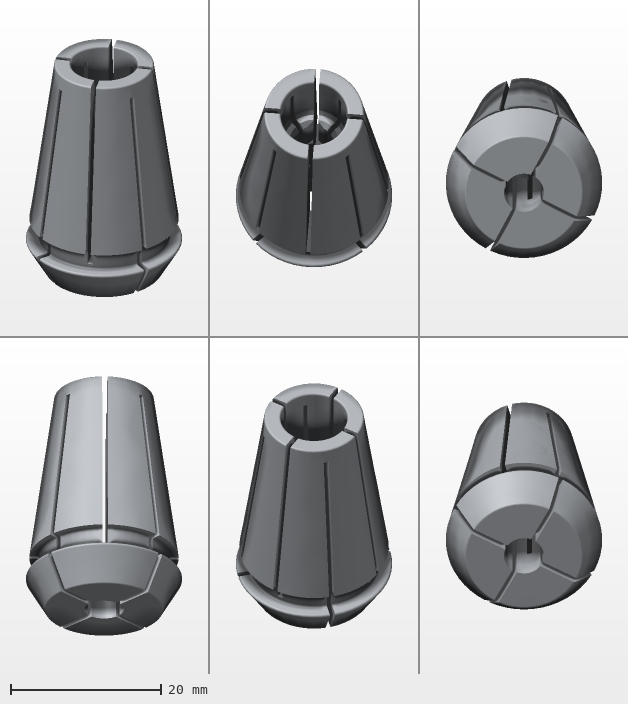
import cadquery as cq
import math

total_height = 31.5
flange_top = 4.85
taper_bottom = 7.7

flange_tip_radius = 10.6
flange_angle = 30.0
neck_radius = 8.7
taper_bottom_radius = 9.95
taper_angle = 8.0
edge_round = 0.28

clamping_radius = 2.65
square_side = 4.98
square_bottom = 15.75
relief_floor = 22.05
funnel_top_radius = 3.3
funnel_angle = 45.0
relief_floor_radius = 4.03
relief_radius = 4.45
relief_cone_angle = 30.0

slot_width = 0.7
bottom_slot_top = 29.5
top_slot_floor = 5.5
slots_per_end = 4

taper_height = total_height - taper_bottom
bottom_radius = flange_tip_radius - flange_top * math.tan(math.radians(flange_angle))
top_radius = taper_bottom_radius - taper_height * math.tan(math.radians(taper_angle))
funnel_height = funnel_top_radius / math.tan(math.radians(funnel_angle))
relief_cone_height = (relief_radius - relief_floor_radius) / math.tan(math.radians(relief_cone_angle))


def revolved(outline):
    """Revolve a closed (radius, height) outline around the Z axis."""
    return cq.Workplane("XZ").polyline(outline).close().revolve(360, (0, 0, 0), (0, 1, 0))


def outer_body():
    """Tapered nose, neck groove and conical flange, with rounded edges."""
    body = revolved([
        (0, 0),
        (bottom_radius, 0),
        (flange_tip_radius, flange_top),
        (neck_radius, flange_top),
        (neck_radius, taper_bottom),
        (taper_bottom_radius, taper_bottom),
        (top_radius, total_height),
        (0, total_height),
    ])
    rounded_circles = [
        (bottom_radius, 0),
        (flange_tip_radius, flange_top),
        (neck_radius, flange_top),
        (neck_radius, taper_bottom),
        (top_radius, total_height),
    ]

    def is_rounded(edge):
        if edge.geomType() != "CIRCLE":
            return False
        return any(
            math.isclose(edge.radius(), radius, abs_tol=0.003)
            and math.isclose(edge.Center().z, height, abs_tol=0.003)
            for radius, height in rounded_circles
        )

    edges = [edge for edge in body.edges().vals() if is_rounded(edge)]
    return body.newObject(edges).fillet(edge_round)


def bore():
    """Clamping hole with a square drive, a funnel and a wider relief above it."""
    clamping_hole = cq.Workplane("XY").circle(clamping_radius).extrude(relief_floor)
    square_drive = (
        cq.Workplane("XY", origin=(0, 0, square_bottom))
        .rect(square_side, square_side)
        .extrude(relief_floor - square_bottom)
    )
    funnel = revolved([
        (0, relief_floor - funnel_height),
        (funnel_top_radius, relief_floor),
        (0, relief_floor),
    ])
    relief = revolved([
        (0, relief_floor),
        (relief_floor_radius, relief_floor),
        (relief_radius, relief_floor + relief_cone_height),
        (relief_radius, total_height),
        (0, total_height),
    ])
    return clamping_hole.union(square_drive).union(funnel).union(relief)


def radial_slot(angle, bottom, top):
    """Box that cuts from the axis out through the wall at the given angle."""
    return (
        cq.Workplane("XY", origin=(0, 0, bottom))
        .rect(flange_tip_radius, slot_width)
        .extrude(top - bottom)
        .translate((flange_tip_radius / 2, 0, 0))
        .rotate((0, 0, 0), (0, 0, 1), angle)
    )


result = outer_body().cut(bore())
bore_mouth = cq.selectors.RadiusNthSelector(0)
result = result.faces(">Z").edges(bore_mouth).fillet(edge_round)

slot_pitch = 360 / slots_per_end
for i in range(slots_per_end):
    bottom_slot_angle = i * slot_pitch
    top_slot_angle = bottom_slot_angle + slot_pitch / 2
    result = result.cut(radial_slot(bottom_slot_angle, 0, bottom_slot_top))
    result = result.cut(radial_slot(top_slot_angle, top_slot_floor, total_height))